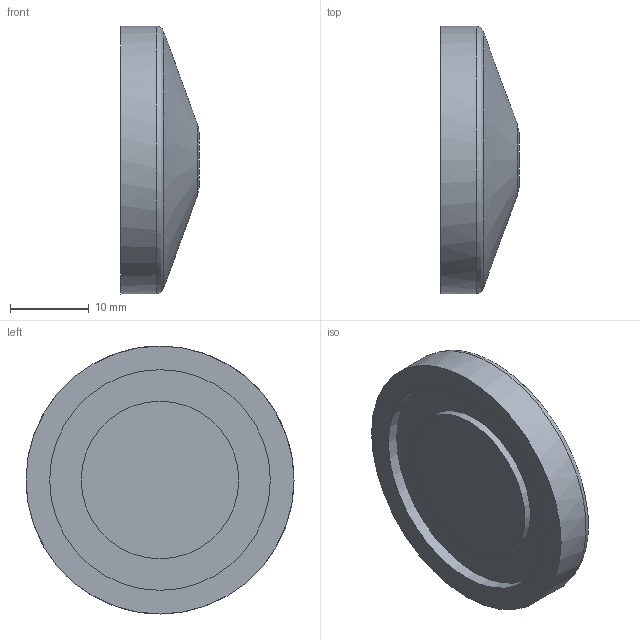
import cadquery as cq
import math

rim_radius = 17.0
rim_length = 4.5
total_length = 10.0
cone_angle = 20.0
rim_rounding = 1.0
tip_rounding = 5.0

groove_outer_radius = 14.0
groove_depth = 1.5
boss_radius = 10.0
boss_height = 1.0

half_turn_angle = math.radians(90 - cone_angle) / 2
shoulder_x = rim_length + rim_rounding * math.tan(half_turn_angle)
tip_radius = rim_radius - (total_length - shoulder_x) / math.tan(math.radians(cone_angle))


def make_body():
    """Disc with a conical front, revolved about X, with both cone edges rounded."""
    profile = (
        cq.Workplane("XZ")
        .lineTo(0, rim_radius)
        .lineTo(shoulder_x, rim_radius)
        .lineTo(total_length, tip_radius)
        .lineTo(total_length, 0)
        .close()
    )
    body = profile.revolve(360, (0, 0, 0), (1, 0, 0))
    body = body.faces(">X").edges().fillet(tip_rounding)
    return body.faces("%CYLINDER").edges(">X").fillet(rim_rounding)


def make_recess():
    """Round recess in the back face, leaving a low round boss in its middle."""
    recess = cq.Workplane("YZ").circle(groove_outer_radius).extrude(groove_depth)
    boss = (
        cq.Workplane("YZ", origin=(groove_depth - boss_height, 0, 0))
        .circle(boss_radius)
        .extrude(boss_height)
    )
    return recess.cut(boss)


result = make_body().cut(make_recess())